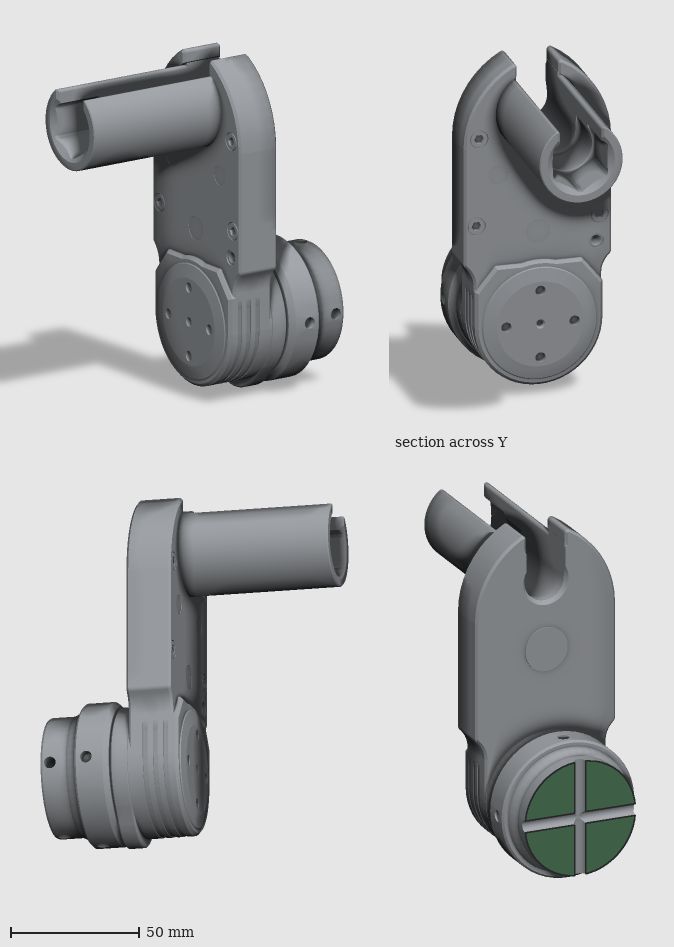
import cadquery as cq
import math

OVERALL_HEIGHT = 137.5

ARM_WIDTH = 60.0
ARM_THICKNESS = 17.9
ARM_EDGE_CHAMFER = 1.0
SHOULDER_Z = 74.2
JAW_RADIUS = 38.1
JAW_TIP_FILLET = 1.4
BARREL_RADIUS = 26.0
NECK_Z = 17.2
NECK_RADIUS = 10.3
NECK_FILLET = 2.2

SOCKET_Z = 87.7
SOCKET_RADIUS = 16.9
SEAT_GROOVE_WIDTH = 0.3
SEAT_WEB = 1.0
SLOT_FILLET_END_Y = 1.6
SOCKET_FRONT_Y = -60.0
SOCKET_END_CHAMFER = 0.4
SLOT_WIDTH = 16.8
SLOT_TOP_FILLET = 1.2
SLOT_MOUTH_CHAMFER = 1.0
HEX_ACROSS_FLATS = 22.3
HEX_CORNER_RADIUS = 12.5
HEX_DEPTH = 19.8
MOUTH_RADIUS = 13.6
MOUTH_DEPTH = 1.9
CHAMBER_RADIUS = 10.3
CHAMBER_LENGTH = 16.4
CHAMBER_MOUTH_RADIUS = 10.9
CHAMBER_MOUTH_DEPTH = 0.5
BORE_MOUTH_RADIUS = 9.3
BORE_MOUTH_DEPTH = 0.7
REAR_MOUTH_WIDENING = 1.4
REAR_MOUTH_DEPTH = 1.8

BOSS_FRONT_Y = -2.0
BOSS_CHAMFER = 1.2
BOSS_CORNER_FILLET = 1.4
BOSS_TOP_Z = 25.0
BOSS_TOP_HALF_WIDTH = 17.6
BOSS_SIDE_Z = 14.8
CAP_RADIUS = 23.4
CAP_RIM_RADIUS = 23.0
CAP_RIM_Y = -2.5
CAP_FACE_RADIUS = 17.6
CAP_FRONT_Y = -3.5
CAP_HOLE_RADIUS = 2.0
CAP_HOLE_CIRCLE_RADIUS = 13.9
CAP_HOLE_DEPTH = 2.7
CENTRE_HOLE_RADIUS = 1.2
CENTRE_MOUTH_RADIUS = 1.9

FLANGE_FRONT_Y = 18.1
FLANGE_REAR_Y = 25.3
FLANGE_CHAMFER = 0.5
LOBE_RADIUS = 17.3
COLLAR_RADIUS = 28.5
COLLAR_FRONT_RADIUS = 26.5
COLLAR_FRONT_Y = 25.7
COLLAR_RIM_Y = 27.8
COLLAR_REAR_Y = 39.3
REAR_RADIUS = 23.8
REAR_CONE_Y = 43.6
REAR_END_Y = 53.9
TURNED_CHAMFER = 0.8
CROSS_HOLE_RADIUS = 2.3
REAR_HOLE_Y = 50.0
COLLAR_HOLE_Y = 34.4
COLLAR_HOLE_DEPTH = 4.1

GROOVE_CENTRES_Y = (2.9, 7.0, 11.1)
GROOVE_WIDTH = 1.9
GROOVE_DEPTH = 0.4
GROOVE_TOP_Z = 13.5
GROOVE_RAMP_Z = 10.2

SCREW_PLACES = ((-23.9, 78.2), (23.9, 78.2), (-25.0, 42.0), (25.0, 42.0))
SCREW_SEAT_RADIUS = 3.7
SCREW_HEAD_RADIUS = 3.3
SCREW_GAP_DEPTH = 0.5
SCREW_HEX_DIAMETER = 4.0
SCREW_HEX_DEPTH = 2.0
DOWEL_PLACES = ((-16.2, 62.7), (16.2, 62.7))
DOWEL_RADIUS = 4.0
PIVOT_PLACE = (0, 37.5)
PIVOT_RADIUS = 5.0
PIN_END_DEPTH = 0.1
SET_SCREW_PLACE = (23.8, 31.0)
SET_SCREW_MOUTH_RADIUS = 3.0
SET_SCREW_RADIUS = 2.2
SET_SCREW_POINT_DEPTH = 2.7
SET_SCREW_MOUTH_DEPTH = 0.5
PAD_Z = 59.7
PAD_RADIUS = 9.1
PAD_HEIGHT = 0.5

ARM_HALF_WIDTH = ARM_WIDTH / 2
SLOT_HALF_WIDTH = SLOT_WIDTH / 2
JAW_CENTRE_X = ARM_HALF_WIDTH - JAW_RADIUS
JAW_TOP_Z = SHOULDER_Z + JAW_TIP_FILLET + math.sqrt(
    (JAW_RADIUS - JAW_TIP_FILLET) ** 2 - (SLOT_HALF_WIDTH + JAW_TIP_FILLET - JAW_CENTRE_X) ** 2
)
LOBE_BOTTOM_Z = JAW_TOP_Z - OVERALL_HEIGHT


def plane_at(y):
    """Workplane facing the front, with local axes X and Z."""
    return cq.Workplane("XZ", origin=(0, y, 0))


def cylinder(radius, y_front, y_rear, x=0, z=0):
    return plane_at(y_front).center(x, z).circle(radius).extrude(y_front - y_rear)


def cone(front_radius, rear_radius, y_front, y_rear, x=0, z=0):
    solid = cq.Solid.makeCone(
        front_radius, rear_radius, y_rear - y_front, cq.Vector(x, y_front, z), cq.Vector(0, 1, 0)
    )
    return cq.Workplane(solid)


def slot_block(y_front, y_rear):
    """Open slot from the socket axis upwards past the top of the arm."""
    height = OVERALL_HEIGHT - SOCKET_Z
    return (
        plane_at(y_front)
        .center(0, SOCKET_Z + height / 2)
        .rect(SLOT_WIDTH, height)
        .extrude(y_front - y_rear)
    )


def corner_edges(x, z, reach=2.0):
    """Selector for the edges along Y near the outline corner at (x, z)."""
    return cq.selectors.BoxSelector(
        (x - reach, -ARM_THICKNESS, z - reach), (x + reach, 2 * ARM_THICKNESS, z + reach)
    )


def arm_plate():
    jaw_corner_z = SHOULDER_Z + math.sqrt(JAW_RADIUS**2 - (SLOT_HALF_WIDTH - JAW_CENTRE_X) ** 2)
    jaw_angle = math.acos((SLOT_HALF_WIDTH - JAW_CENTRE_X) / JAW_RADIUS) / 2
    jaw_mid = (
        JAW_CENTRE_X + JAW_RADIUS * math.cos(jaw_angle),
        SHOULDER_Z + JAW_RADIUS * math.sin(jaw_angle),
    )
    neck_centre_x = BARREL_RADIUS + NECK_RADIUS
    neck_angle = math.acos((neck_centre_x - ARM_HALF_WIDTH) / NECK_RADIUS)
    neck_top_z = NECK_Z + NECK_RADIUS * math.sin(neck_angle)
    neck_mid = (
        neck_centre_x - NECK_RADIUS * math.cos(neck_angle / 2),
        NECK_Z + NECK_RADIUS * math.sin(neck_angle / 2),
    )
    plate = (
        plane_at(0)
        .moveTo(SLOT_HALF_WIDTH, SOCKET_Z)
        .lineTo(SLOT_HALF_WIDTH, jaw_corner_z)
        .threePointArc(jaw_mid, (ARM_HALF_WIDTH, SHOULDER_Z))
        .lineTo(ARM_HALF_WIDTH, neck_top_z)
        .threePointArc(neck_mid, (BARREL_RADIUS, NECK_Z))
        .lineTo(BARREL_RADIUS, 0)
        .threePointArc((0, -BARREL_RADIUS), (-BARREL_RADIUS, 0))
        .lineTo(-BARREL_RADIUS, NECK_Z)
        .threePointArc((-neck_mid[0], neck_mid[1]), (-ARM_HALF_WIDTH, neck_top_z))
        .lineTo(-ARM_HALF_WIDTH, SHOULDER_Z)
        .threePointArc((-jaw_mid[0], jaw_mid[1]), (-SLOT_HALF_WIDTH, jaw_corner_z))
        .lineTo(-SLOT_HALF_WIDTH, SOCKET_Z)
        .close()
        .extrude(-ARM_THICKNESS)
    )
    for side in (-1, 1):
        jaw_tip = corner_edges(side * SLOT_HALF_WIDTH, jaw_corner_z)
        plate = plate.edges("|Y").edges(jaw_tip).fillet(JAW_TIP_FILLET)
        neck_corner = corner_edges(side * ARM_HALF_WIDTH, neck_top_z)
        plate = plate.edges("|Y").edges(neck_corner).fillet(NECK_FILLET)
    return plate.faces("<Y or >Y").chamfer(ARM_EDGE_CHAMFER)


def front_boss():
    """Raised front of the barrel: a U shape with cut corners."""
    outline = (
        plane_at(BOSS_FRONT_Y)
        .moveTo(-BOSS_TOP_HALF_WIDTH, BOSS_TOP_Z)
        .lineTo(BOSS_TOP_HALF_WIDTH, BOSS_TOP_Z)
        .lineTo(BARREL_RADIUS, BOSS_SIDE_Z)
        .lineTo(BARREL_RADIUS, 0)
        .threePointArc((0, -BARREL_RADIUS), (-BARREL_RADIUS, 0))
        .lineTo(-BARREL_RADIUS, BOSS_SIDE_Z)
        .close()
        .extrude(BOSS_FRONT_Y - ARM_THICKNESS / 2)
    )
    for side in (-1, 1):
        top_corner = corner_edges(side * BOSS_TOP_HALF_WIDTH, BOSS_TOP_Z)
        outline = outline.edges("|Y").edges(top_corner).fillet(BOSS_CORNER_FILLET)
    return outline.faces("<Y").chamfer(BOSS_CHAMFER)


def turned(profile):
    """Solid of revolution about the hub axis from (radius, y) points."""
    return cq.Workplane("XY").polyline(profile).close().revolve(360, (0, 0), (0, 1))


def cap_and_barrel():
    """Front cap with its conical rim, and the round barrel that carries the flange."""
    return turned(
        [
            (0, CAP_FRONT_Y),
            (CAP_FACE_RADIUS, CAP_FRONT_Y),
            (CAP_RIM_RADIUS, CAP_RIM_Y),
            (CAP_RADIUS, BOSS_FRONT_Y),
            (BARREL_RADIUS - BOSS_CHAMFER, BOSS_FRONT_Y),
            (BARREL_RADIUS, BOSS_FRONT_Y + BOSS_CHAMFER),
            (BARREL_RADIUS, FLANGE_FRONT_Y),
            (0, FLANGE_FRONT_Y),
        ]
    )


def flange():
    """Disc behind the arm, drawn out by straight tangents to a lobe at the bottom."""
    lobe_centre_z = LOBE_BOTTOM_Z + LOBE_RADIUS
    normal_angle = math.asin((BARREL_RADIUS - LOBE_RADIUS) / lobe_centre_z)
    normal_x = math.cos(normal_angle)
    normal_z = math.sin(normal_angle)
    disc_point = (BARREL_RADIUS * normal_x, BARREL_RADIUS * normal_z)
    lobe_point = (LOBE_RADIUS * normal_x, lobe_centre_z + LOBE_RADIUS * normal_z)
    return (
        plane_at(FLANGE_FRONT_Y)
        .moveTo(*disc_point)
        .lineTo(*lobe_point)
        .threePointArc((0, LOBE_BOTTOM_Z), (-lobe_point[0], lobe_point[1]))
        .lineTo(-disc_point[0], disc_point[1])
        .threePointArc((0, BARREL_RADIUS), disc_point)
        .close()
        .extrude(FLANGE_FRONT_Y - FLANGE_REAR_Y)
        .faces("<Y or >Y")
        .chamfer(FLANGE_CHAMFER)
    )


def grip_groove(centre_y):
    """Band round the lower barrel, less the core left at the groove floor."""
    front_y = centre_y - GROOVE_WIDTH / 2
    floor_radius = BARREL_RADIUS - GROOVE_DEPTH
    band_side = ARM_WIDTH
    band = (
        plane_at(front_y)
        .center(0, GROOVE_TOP_Z - band_side / 2)
        .rect(band_side, band_side)
        .extrude(-GROOVE_WIDTH)
    )
    core = (
        plane_at(front_y)
        .moveTo(-BARREL_RADIUS, GROOVE_TOP_Z)
        .lineTo(BARREL_RADIUS, GROOVE_TOP_Z)
        .lineTo(floor_radius, GROOVE_RAMP_Z)
        .lineTo(floor_radius, 0)
        .threePointArc((0, -floor_radius), (-floor_radius, 0))
        .lineTo(-floor_radius, GROOVE_RAMP_Z)
        .close()
        .extrude(-GROOVE_WIDTH)
    )
    return band.cut(core)


def arm_face_cuts():
    """Screw heads, flush pin ends and the set screw hole in the front face of the arm."""
    cuts = []
    for x, z in SCREW_PLACES:
        seat = cylinder(SCREW_SEAT_RADIUS, 0, SCREW_GAP_DEPTH, x, z)
        cuts.append(seat.cut(cylinder(SCREW_HEAD_RADIUS, 0, SCREW_GAP_DEPTH, x, z)))
        cuts.append(plane_at(0).center(x, z).polygon(6, SCREW_HEX_DIAMETER).extrude(-SCREW_HEX_DEPTH))
    for x, z in DOWEL_PLACES:
        cuts.append(cylinder(DOWEL_RADIUS, 0, PIN_END_DEPTH, x, z))
    cuts.append(cylinder(PIVOT_RADIUS, 0, PIN_END_DEPTH, *PIVOT_PLACE))
    cuts.append(
        cone(SET_SCREW_RADIUS, 0, SET_SCREW_MOUTH_DEPTH, SET_SCREW_POINT_DEPTH, *SET_SCREW_PLACE)
    )
    cuts.append(cylinder(SET_SCREW_MOUTH_RADIUS, 0, SET_SCREW_MOUTH_DEPTH, *SET_SCREW_PLACE))
    return cuts


def cap_cuts():
    """Ring of four holes round a small countersunk centre hole."""
    hole_end_y = CAP_FRONT_Y + CAP_HOLE_DEPTH
    mouth_depth = CENTRE_MOUTH_RADIUS - CENTRE_HOLE_RADIUS
    cuts = [
        cylinder(CENTRE_HOLE_RADIUS, CAP_FRONT_Y, hole_end_y),
        cone(CENTRE_MOUTH_RADIUS, CENTRE_HOLE_RADIUS, CAP_FRONT_Y, CAP_FRONT_Y + mouth_depth),
    ]
    for quarter in range(4):
        angle = quarter * math.pi / 2
        x = CAP_HOLE_CIRCLE_RADIUS * math.cos(angle)
        z = CAP_HOLE_CIRCLE_RADIUS * math.sin(angle)
        cuts.append(cylinder(CAP_HOLE_RADIUS, CAP_FRONT_Y, hole_end_y, x, z))
    return cuts


def radial_hole(y, inner_radius, angle):
    """Hole from inner_radius outwards past the collar, turned by angle degrees about the hub axis."""
    hole = (
        cq.Workplane("XY", origin=(0, y, inner_radius))
        .circle(CROSS_HOLE_RADIUS)
        .extrude(COLLAR_RADIUS)
    )
    return hole.rotate((0, 0, 0), (0, 1, 0), angle)


def slot_mouth():
    """Bevel on the two slot edges at the front end of the socket."""
    half_width = SLOT_HALF_WIDTH + SLOT_MOUTH_CHAMFER
    return (
        cq.Workplane("XY", origin=(0, 0, SOCKET_Z))
        .polyline(
            [
                (-half_width, SOCKET_FRONT_Y),
                (half_width, SOCKET_FRONT_Y),
                (SLOT_HALF_WIDTH, SOCKET_FRONT_Y + SLOT_MOUTH_CHAMFER),
                (-SLOT_HALF_WIDTH, SOCKET_FRONT_Y + SLOT_MOUTH_CHAMFER),
            ]
        )
        .close()
        .extrude(2 * SOCKET_RADIUS)
    )


def socket_bore():
    """Hexagon with a conical mouth, round chamber, and through bore with a widened rear end."""
    hex_end_y = SOCKET_FRONT_Y + HEX_DEPTH
    chamber_end_y = hex_end_y + CHAMBER_LENGTH
    hexagon = (
        plane_at(SOCKET_FRONT_Y)
        .center(0, SOCKET_Z)
        .transformed(rotate=(0, 0, 90))
        .polygon(6, HEX_ACROSS_FLATS / math.cos(math.pi / 6))
        .extrude(-HEX_DEPTH)
        .intersect(cylinder(HEX_CORNER_RADIUS, SOCKET_FRONT_Y, hex_end_y, z=SOCKET_Z))
    )
    mouth_end_y = SOCKET_FRONT_Y + MOUTH_DEPTH
    chamber_mouth_end_y = hex_end_y + CHAMBER_MOUTH_DEPTH
    bore_mouth_end_y = chamber_end_y + BORE_MOUTH_DEPTH
    rear_mouth_y = ARM_THICKNESS - REAR_MOUTH_DEPTH
    rear_radius = SLOT_HALF_WIDTH + REAR_MOUTH_WIDENING
    return [
        hexagon,
        cone(MOUTH_RADIUS, HEX_ACROSS_FLATS / 2, SOCKET_FRONT_Y, mouth_end_y, z=SOCKET_Z),
        cone(CHAMBER_MOUTH_RADIUS, CHAMBER_RADIUS, hex_end_y, chamber_mouth_end_y, z=SOCKET_Z),
        cylinder(CHAMBER_RADIUS, hex_end_y, chamber_end_y, z=SOCKET_Z),
        cone(BORE_MOUTH_RADIUS, SLOT_HALF_WIDTH, chamber_end_y, bore_mouth_end_y, z=SOCKET_Z),
        cylinder(SLOT_HALF_WIDTH, SOCKET_FRONT_Y, ARM_THICKNESS, z=SOCKET_Z),
        cone(SLOT_HALF_WIDTH, rear_radius, rear_mouth_y, ARM_THICKNESS, z=SOCKET_Z),
    ]


def socket_tube(y_front, y_rear):
    """Length of slotted tube with rounded slot edges."""
    tube = cylinder(SOCKET_RADIUS, y_front, y_rear, z=SOCKET_Z).cut(slot_block(y_front, y_rear))
    slot_top_z = SOCKET_Z + math.sqrt(SOCKET_RADIUS**2 - SLOT_HALF_WIDTH**2)
    for side in (-1, 1):
        slot_edge = cq.selectors.NearestToPointSelector(
            (side * SLOT_HALF_WIDTH, (y_front + y_rear) / 2, slot_top_z)
        )
        tube = tube.edges("|Y").edges(slot_edge).fillet(SLOT_TOP_FILLET)
    return tube


def socket():
    """Tube rounded along the slot at both ends, with square slot edges inside the arm."""
    web_y = ARM_THICKNESS - SEAT_WEB
    front = socket_tube(SOCKET_FRONT_Y, SLOT_FILLET_END_Y)
    front = front.faces("<Y").chamfer(SOCKET_END_CHAMFER).cut(slot_mouth())
    middle = cylinder(SOCKET_RADIUS, SLOT_FILLET_END_Y, web_y, z=SOCKET_Z)
    middle = middle.cut(slot_block(SLOT_FILLET_END_Y, web_y))
    return front.union(middle).union(socket_tube(web_y, ARM_THICKNESS))


def socket_seat():
    """Bore of the arm: an annular clearance round the socket, and a close fit at the rear web."""
    seat = cylinder(SOCKET_RADIUS, 0, ARM_THICKNESS, z=SOCKET_Z)
    clearance_radius = SOCKET_RADIUS + SEAT_GROOVE_WIDTH
    return seat.union(cylinder(clearance_radius, 0, ARM_THICKNESS - SEAT_WEB, z=SOCKET_Z))


def make_tool_head():
    """Arm, hub front and socket in one piece."""
    pad = cylinder(PAD_RADIUS, ARM_THICKNESS, ARM_THICKNESS + PAD_HEIGHT, z=PAD_Z)
    body = arm_plate().cut(socket_seat()).union(socket())
    body = body.union(pad).union(cap_and_barrel()).union(front_boss()).union(flange())
    for centre_y in GROOVE_CENTRES_Y:
        body = body.cut(grip_groove(centre_y))
    for cut in socket_bore() + arm_face_cuts() + cap_cuts():
        body = body.cut(cut)
    return body


def make_adapter():
    """Collar with a narrower rear hub, cross-drilled along X and along Z."""
    body = turned(
        [
            (0, COLLAR_FRONT_Y),
            (COLLAR_FRONT_RADIUS, COLLAR_FRONT_Y),
            (COLLAR_RADIUS, COLLAR_RIM_Y),
            (COLLAR_RADIUS, COLLAR_REAR_Y - TURNED_CHAMFER),
            (COLLAR_RADIUS - TURNED_CHAMFER, COLLAR_REAR_Y),
            (BARREL_RADIUS, COLLAR_REAR_Y),
            (REAR_RADIUS, REAR_CONE_Y),
            (REAR_RADIUS, REAR_END_Y - TURNED_CHAMFER),
            (REAR_RADIUS - TURNED_CHAMFER / 2, REAR_END_Y),
            (0, REAR_END_Y),
        ]
    )
    for angle in range(0, 360, 90):
        body = body.cut(radial_hole(REAR_HOLE_Y, 0, angle))
        body = body.cut(radial_hole(COLLAR_HOLE_Y, COLLAR_RADIUS - COLLAR_HOLE_DEPTH, angle))
    return body


tool_head = make_tool_head()
adapter = make_adapter()
result = cq.Compound.makeCompound([tool_head.val(), adapter.val()])